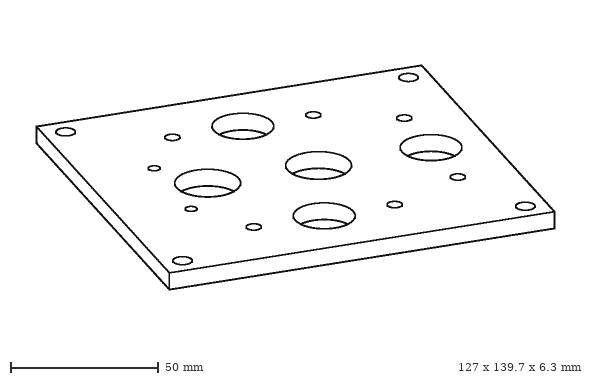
import cadquery as cq

width = 127.0
height = 139.7
thickness = 6.3

corner_hole_diameter = 6.5
corner_hole_inset = 7.7

connector_diameter = 21.0
connector_screw_diameter = 5.2
connector_screw_offset = 25.5
top_connector_y = 49.2
side_connector_x = 38.8
side_connector_y = -4.3

opening_diameter = 22.4
middle_opening_y = 8.4
lower_opening_y = -31.9

lower_screw_diameter = 4.0
lower_screw_x = 17.6
lower_screw_y = -44.5


def drill(plate, diameter, points):
    """Cut through holes of one diameter at points measured from the plate centre."""
    return plate.faces(">Z").workplane(origin=(0, 0, 0)).pushPoints(points).hole(diameter)


plate = cq.Workplane("XY").box(width, height, thickness)

corner_x = width / 2 - corner_hole_inset
corner_y = height / 2 - corner_hole_inset
corner_points = [(sx * corner_x, sy * corner_y) for sx in (-1, 1) for sy in (-1, 1)]
plate = drill(plate, corner_hole_diameter, corner_points)

connector_points = [(0, top_connector_y)]
connector_points += [(side * side_connector_x, side_connector_y) for side in (-1, 1)]
plate = drill(plate, connector_diameter, connector_points)

connector_screw_points = [(side * connector_screw_offset, top_connector_y) for side in (-1, 1)]
connector_screw_points += [
    (side * side_connector_x, side_connector_y + direction * connector_screw_offset)
    for side in (-1, 1)
    for direction in (-1, 1)
]
plate = drill(plate, connector_screw_diameter, connector_screw_points)

plate = drill(plate, opening_diameter, [(0, middle_opening_y), (0, lower_opening_y)])
lower_screw_points = [(side * lower_screw_x, lower_screw_y) for side in (-1, 1)]
plate = drill(plate, lower_screw_diameter, lower_screw_points)

result = plate